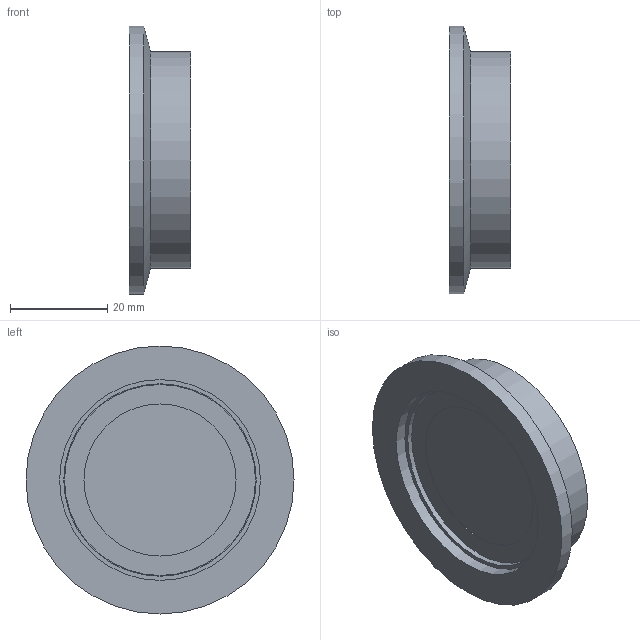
import cadquery as cq
import math

FLANGE_DIAMETER = 55.0
HUB_DIAMETER = 44.5
TOTAL_LENGTH = 12.7
RIM_THICKNESS = 3.0
TAPER_ANGLE = 15.0

COUNTERBORE_DIAMETER = 41.2
COUNTERBORE_DEPTH = 2.5
POCKET_DIAMETER = 39.5

DISC_DIAMETER = 39.2
DISC_THICKNESS = 5.0
DISC_FACE_DEPTH = 3.5
RECESS_DIAMETER = 31.2
RECESS_DEPTH = 0.1

POCKET_DEPTH = DISC_FACE_DEPTH + DISC_THICKNESS


def cylinder(diameter, start, length):
    """Cylinder on the X axis, running from x = start toward +X."""
    return cq.Workplane("YZ", origin=(start, 0, 0)).circle(diameter / 2).extrude(length)


def make_housing():
    rim_radius = FLANGE_DIAMETER / 2
    hub_radius = HUB_DIAMETER / 2
    taper_length = (rim_radius - hub_radius) * math.tan(math.radians(TAPER_ANGLE))
    blank = (
        cq.Workplane("XY")
        .moveTo(0, 0)
        .lineTo(0, rim_radius)
        .lineTo(RIM_THICKNESS, rim_radius)
        .lineTo(RIM_THICKNESS + taper_length, hub_radius)
        .lineTo(TOTAL_LENGTH, hub_radius)
        .lineTo(TOTAL_LENGTH, 0)
        .close()
        .revolve(360, (0, 0, 0), (1, 0, 0))
    )
    counterbore = cylinder(COUNTERBORE_DIAMETER, 0, COUNTERBORE_DEPTH)
    pocket = cylinder(POCKET_DIAMETER, 0, POCKET_DEPTH)
    return blank.cut(counterbore).cut(pocket)


def make_disc():
    disc = cylinder(DISC_DIAMETER, DISC_FACE_DEPTH, DISC_THICKNESS)
    recess = cylinder(RECESS_DIAMETER, DISC_FACE_DEPTH, RECESS_DEPTH)
    return disc.cut(recess)


housing = make_housing()
disc = make_disc()

result = cq.Compound.makeCompound([housing.val(), disc.val()])